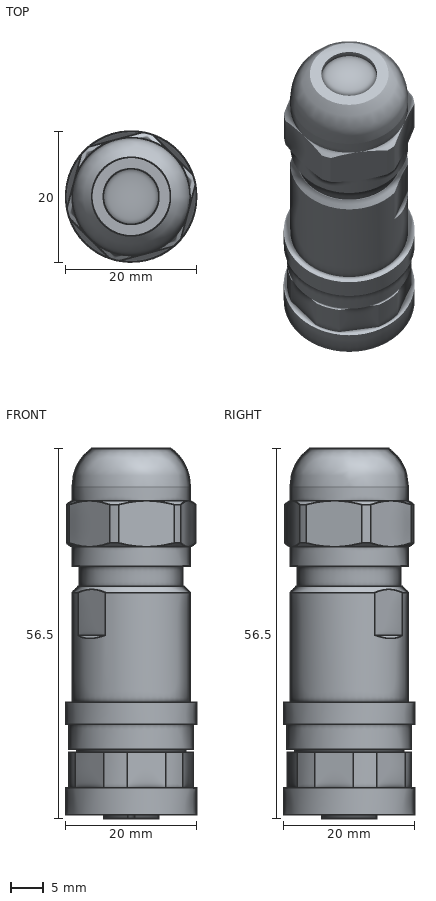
import cadquery as cq
import math


stub_height = 0.6
ring_top = 4.7
lower_hex_top = 10.15
groove_top = 10.6
sleeve_top = 14.4
flange_top = 17.8
body_chamfer_base = 34.5
neck_top = 38.55
nut_bottom = 41.5
nut_top = 48.5
dome_base = 50.65
total_height = 56.5

stub_radius = 4.2
key_groove_radius = 0.55
flange_radius = 10.0
sleeve_radius = 9.5
groove_radius = 8.3
body_radius = 9.0
shoulder_top_radius = 8.0
neck_radius = 7.9
dome_top_radius = 6.0

opening_radius = 4.25
opening_depth = 1.0

hex_sides = 6
hex_half_angle = 180.0 / hex_sides
hex_across_flats = 18.0
nut_corner_radius = 10.0
nut_chamfer_angle = 30.0
facet_direction = 45.0
spanner_across_flats = 17.0
spanner_flat_bottom = 28.0


def disc(radius, bottom, top):
    """Cylinder on the Z axis between two heights."""
    return cq.Workplane("XY").workplane(offset=bottom).circle(radius).extrude(top - bottom)


def hexagon(bottom, top):
    """Hexagonal prism with one face normal along facet_direction."""
    across_corners = hex_across_flats / math.cos(math.radians(hex_half_angle))
    prism = cq.Workplane("XY").workplane(offset=bottom).polygon(hex_sides, across_corners).extrude(top - bottom)
    return prism.rotate((0, 0, 0), (0, 0, 1), facet_direction - hex_half_angle)


def revolve_outline(outline):
    """Turn an XZ outline about the Z axis."""
    return outline.close().revolve(360, (0, 0, 0), (0, 1, 0))


def lower_coupling():
    """Keyed contact stub, plain ring, rounded hexagon, groove, sleeve and flange."""
    key_groove = disc(key_groove_radius, 0, stub_height).translate((0, -stub_radius, 0))
    stub = disc(stub_radius, 0, stub_height).cut(key_groove)
    ring = disc(flange_radius, stub_height, ring_top)
    hex_section = hexagon(ring_top, lower_hex_top).intersect(disc(sleeve_radius, ring_top, lower_hex_top))
    groove = disc(groove_radius, lower_hex_top, groove_top)
    sleeve = disc(sleeve_radius, groove_top, sleeve_top)
    flange = disc(flange_radius, sleeve_top, flange_top)
    return stub.union(ring).union(hex_section).union(groove).union(sleeve).union(flange)


def spanner_flat_cutter(direction):
    """Block that leaves a flat facing the given direction, with a 45 degree ledge below it."""
    flat_distance = spanner_across_flats / 2
    reach = flange_radius - flat_distance
    cutter = (
        cq.Workplane("XZ")
        .moveTo(flat_distance, spanner_flat_bottom)
        .lineTo(flange_radius, spanner_flat_bottom - reach)
        .lineTo(flange_radius, neck_top)
        .lineTo(flat_distance, neck_top)
        .close()
        .extrude(body_radius, both=True)
    )
    return cutter.rotate((0, 0, 0), (0, 0, 1), direction)


def body():
    """Main barrel with a 45 degree shoulder, the neck and two opposite spanner flats."""
    shoulder_top = body_chamfer_base + body_radius - shoulder_top_radius
    barrel = revolve_outline(
        cq.Workplane("XZ")
        .moveTo(0, flange_top)
        .lineTo(body_radius, flange_top)
        .lineTo(body_radius, body_chamfer_base)
        .lineTo(shoulder_top_radius, shoulder_top)
        .lineTo(neck_radius, shoulder_top)
        .lineTo(neck_radius, neck_top)
        .lineTo(0, neck_top)
    )
    for side in (0, 180):
        barrel = barrel.cut(spanner_flat_cutter(facet_direction + side))
    return barrel


def clamping_nut():
    """Hexagon nut whose corners are rounded and chamfered at both ends."""
    flat_radius = hex_across_flats / 2
    chamfer_drop = (nut_corner_radius - flat_radius) * math.tan(math.radians(nut_chamfer_angle))
    envelope = revolve_outline(
        cq.Workplane("XZ")
        .moveTo(0, nut_bottom)
        .lineTo(flat_radius, nut_bottom)
        .lineTo(nut_corner_radius, nut_bottom + chamfer_drop)
        .lineTo(nut_corner_radius, nut_top - chamfer_drop)
        .lineTo(flat_radius, nut_top)
        .lineTo(0, nut_top)
    )
    return hexagon(nut_bottom, nut_top).intersect(envelope)


def cap():
    """Collars on both sides of the nut and the dome with its cable opening."""
    dome_height = total_height - dome_base
    dome_inset = body_radius - dome_top_radius
    arc_radius = (dome_height**2 + dome_inset**2) / (2 * dome_inset)
    half_sweep = math.asin(dome_height / arc_radius) / 2
    arc_middle = (
        body_radius - arc_radius * (1 - math.cos(half_sweep)),
        dome_base + arc_radius * math.sin(half_sweep),
    )
    shell = revolve_outline(
        cq.Workplane("XZ")
        .moveTo(0, neck_top)
        .lineTo(body_radius, neck_top)
        .lineTo(body_radius, dome_base)
        .threePointArc(arc_middle, (dome_top_radius, total_height))
        .lineTo(0, total_height)
    )
    return shell.cut(disc(opening_radius, total_height - opening_depth, total_height))


result = lower_coupling().union(body()).union(cap()).union(clamping_nut())